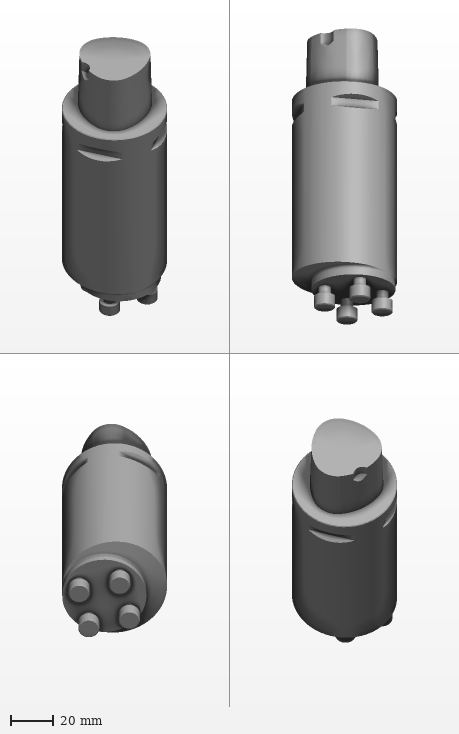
import cadquery as cq
import math

BODY_DIAMETER = 50.0
BODY_RADIUS = BODY_DIAMETER / 2
RIM_CHAMFER = 0.4

PLATE_OFFSET_X = 5.0
PLATE_RADIUS = 20.0
PLATE_BOTTOM_Z = -98.0
FLARE_ANGLE = 15.0
FLARE_CORNER_Z = -93.3
FLARE_OVERSIZE = 2.0
FLARE_OUTER_RADIUS = BODY_RADIUS + PLATE_OFFSET_X + FLARE_OVERSIZE
FLARE_FILLET = 1.0

SHANK_HEIGHT = 30.0
SHANK_LOBE_REACH = 18.5
SHANK_FLAT_REACH = 16.45
SHANK_LOBE_RADIUS = 12.2
SHANK_SIDE_DRAFT = 0.75
LOBE_ANGLES = (90.0, 210.0, 330.0)
LOBE_HALF_SPACING = 60.0

NOTCH_RADIUS = 4.3
NOTCH_DEPTH = 5.4
NOTCH_BACK_Y = -13.5

GROOVE_ANGLES = (45.0, 135.0, 225.0, 315.0)
GROOVE_CENTRE_Z = -10.0
GROOVE_FLOOR_WIDTH = 4.0
GROOVE_FLOOR_DISTANCE = 22.25
GROOVE_FLANK_ANGLE = 30.0

SCREW_CIRCLE_DIAMETER = 28.0
SCREW_ANGLES = (45.0, 135.0, 225.0, 315.0)
SCREW_DIAMETER = 6.0
HEAD_DIAMETER = 10.0
HEAD_HEIGHT = 6.0
HEAD_BOTTOM_Z = -108.53
HEAD_CHAMFER = 0.5


def polar(radius, angle):
    """Point at a radius and an angle in degrees about the Z axis."""
    return (radius * math.cos(math.radians(angle)), radius * math.sin(math.radians(angle)))


def make_body():
    """Body cylinder trimmed below by a flared plate on an offset axis."""
    slope = math.radians(FLARE_ANGLE)
    tangent = FLARE_FILLET * math.tan((math.pi / 2 - slope) / 2)
    flare_rise = (FLARE_OUTER_RADIUS - PLATE_RADIUS) * math.tan(slope)
    fillet_end = (
        PLATE_RADIUS + tangent * math.cos(slope),
        FLARE_CORNER_Z + tangent * math.sin(slope),
    )
    flared_plate = (
        cq.Workplane("XZ")
        .moveTo(0, 0)
        .lineTo(0, PLATE_BOTTOM_Z)
        .lineTo(PLATE_RADIUS, PLATE_BOTTOM_Z)
        .lineTo(PLATE_RADIUS, FLARE_CORNER_Z - tangent)
        .tangentArcPoint(fillet_end, relative=False)
        .lineTo(FLARE_OUTER_RADIUS, FLARE_CORNER_Z + flare_rise)
        .lineTo(FLARE_OUTER_RADIUS, 0)
        .close()
        .revolve(360, (0, 0, 0), (0, 1, 0))
        .translate((PLATE_OFFSET_X, 0, 0))
    )
    cylinder = (
        cq.Workplane("XY")
        .circle(BODY_RADIUS)
        .extrude(PLATE_BOTTOM_Z)
        .faces(">Z")
        .chamfer(RIM_CHAMFER)
    )
    return cylinder.intersect(flared_plate)


def lobed_outline(plane, inset):
    """Closed outline of three lobe arcs joined by three tangent, flatter arcs."""
    lobe_reach = SHANK_LOBE_REACH - inset
    flat_reach = SHANK_FLAT_REACH - inset
    lobe_radius = SHANK_LOBE_RADIUS - inset
    lobe_centre = lobe_reach - lobe_radius
    gap = flat_reach - lobe_radius
    flat_centre = (lobe_centre**2 - gap**2) / (2 * gap - lobe_centre)
    centre_x = flat_centre * math.cos(math.radians(LOBE_HALF_SPACING)) + lobe_centre
    centre_y = flat_centre * math.sin(math.radians(LOBE_HALF_SPACING))
    join_direction = math.atan2(centre_y, centre_x)
    join_x = lobe_centre + lobe_radius * math.cos(join_direction)
    join_y = lobe_radius * math.sin(join_direction)
    join_reach = math.hypot(join_x, join_y)
    join_angle = math.degrees(math.atan2(join_y, join_x))

    outline = plane.moveTo(*polar(join_reach, LOBE_ANGLES[0] - join_angle))
    for lobe in LOBE_ANGLES:
        flat = lobe + LOBE_HALF_SPACING
        next_lobe = flat + LOBE_HALF_SPACING
        outline = outline.threePointArc(polar(lobe_reach, lobe), polar(join_reach, lobe + join_angle))
        outline = outline.threePointArc(polar(flat_reach, flat), polar(join_reach, next_lobe - join_angle))
    return outline.close()


def make_shank():
    """Lobed shank that narrows evenly towards its top."""
    base = lobed_outline(cq.Workplane("XY"), 0)
    return lobed_outline(base.workplane(offset=SHANK_HEIGHT), SHANK_SIDE_DRAFT).loft(ruled=True)


def make_notch():
    """Cutter for the key notch: a cylinder ending in a 45 degree point."""
    shoulder_z = SHANK_HEIGHT - NOTCH_DEPTH
    return (
        cq.Workplane("XZ")
        .moveTo(0, SHANK_HEIGHT)
        .lineTo(NOTCH_RADIUS, SHANK_HEIGHT)
        .lineTo(NOTCH_RADIUS, shoulder_z)
        .lineTo(0, shoulder_z - NOTCH_RADIUS)
        .close()
        .revolve(360, (0, 0, 0), (0, 1, 0))
        .translate((0, NOTCH_BACK_Y - NOTCH_RADIUS, 0))
    )


def make_groove(angle):
    """Cutter for one straight groove with a flat floor and sloping flanks."""
    depth = BODY_RADIUS - GROOVE_FLOOR_DISTANCE
    half_floor = GROOVE_FLOOR_WIDTH / 2
    half_mouth = half_floor + depth * math.tan(math.radians(GROOVE_FLANK_ANGLE))
    return (
        cq.Workplane("XZ")
        .polyline([
            (GROOVE_FLOOR_DISTANCE, -half_floor),
            (BODY_RADIUS, -half_mouth),
            (BODY_RADIUS, half_mouth),
            (GROOVE_FLOOR_DISTANCE, half_floor),
        ])
        .close()
        .extrude(BODY_RADIUS, both=True)
        .translate((0, 0, GROOVE_CENTRE_Z))
        .rotate((0, 0, 0), (0, 0, 1), angle)
    )


def make_screw(angle):
    """Cap screw hanging from the plate, head downwards."""
    x, y = polar(SCREW_CIRCLE_DIAMETER / 2, angle)
    head = (
        cq.Workplane("XY")
        .circle(HEAD_DIAMETER / 2)
        .extrude(HEAD_HEIGHT)
        .faces("<Z")
        .chamfer(HEAD_CHAMFER)
    )
    stem = cq.Workplane("XY").circle(SCREW_DIAMETER / 2).extrude(PLATE_BOTTOM_Z - HEAD_BOTTOM_Z)
    return head.union(stem).translate((PLATE_OFFSET_X + x, y, HEAD_BOTTOM_Z))


result = make_body().union(make_shank()).cut(make_notch())
for groove_angle in GROOVE_ANGLES:
    result = result.cut(make_groove(groove_angle))
for screw_angle in SCREW_ANGLES:
    result = result.union(make_screw(screw_angle))